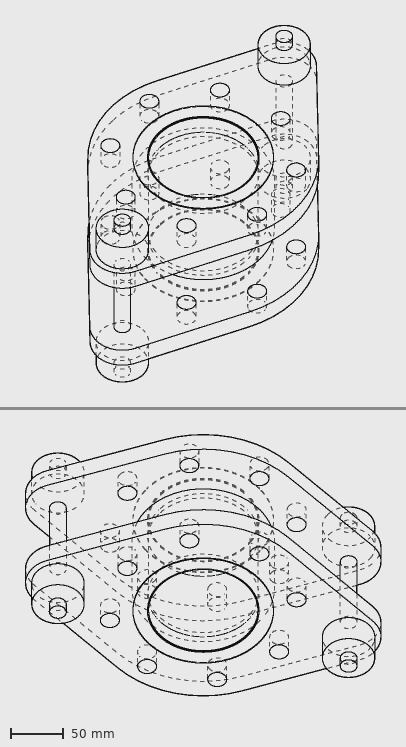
import cadquery as cq
import math

plate_length = 347.0
hub_radius = 110.0
lug_radius = 31.0
plate_inner_z = 43.0
plate_outer_z = 64.0
plate_thickness = plate_outer_z - plate_inner_z

bolt_count = 8
bolt_circle_radius = 90.0
bolt_hole_diameter = 18.0

face_radius = 67.0
face_height = 1.0
face_bore_radius = 53.0

body_radius = 68.0
body_half_height = 35.0
neck_radius = 53.0
bore_radius = 52.0
sleeve_rounding = 3.0

rod_radius = 8.0
rod_length = 210.0
nut_radius = 25.0
nut_height = 30.0
rod_y = plate_length / 2 - lug_radius


def cylinder(radius, z_bottom, height, y=0.0):
    """Upright cylinder centred at (0, y)."""
    return cq.Workplane("XY", origin=(0, y, z_bottom)).circle(radius).extrude(height)


def flange_plate():
    """Upper plate: a hub arc and two lug arcs joined by common tangents."""
    tangent_cos = (hub_radius - lug_radius) / rod_y
    tangent_sin = math.sqrt(1 - tangent_cos**2)
    hub_x = hub_radius * tangent_sin
    hub_y = hub_radius * tangent_cos
    lug_x = lug_radius * tangent_sin
    lug_y = rod_y + lug_radius * tangent_cos

    plate = (
        cq.Workplane("XY", origin=(0, 0, plate_inner_z))
        .moveTo(hub_x, -hub_y)
        .threePointArc((hub_radius, 0), (hub_x, hub_y))
        .lineTo(lug_x, lug_y)
        .threePointArc((0, plate_length / 2), (-lug_x, lug_y))
        .lineTo(-hub_x, hub_y)
        .threePointArc((-hub_radius, 0), (-hub_x, -hub_y))
        .lineTo(-lug_x, -lug_y)
        .threePointArc((0, -plate_length / 2), (lug_x, -lug_y))
        .close()
        .extrude(plate_thickness)
    )
    first_bolt_angle = 180 / bolt_count
    bolt_holes = (
        cq.Workplane("XY", origin=(0, 0, plate_inner_z))
        .polarArray(bolt_circle_radius, first_bolt_angle, 360, bolt_count)
        .circle(bolt_hole_diameter / 2)
        .extrude(plate_thickness)
    )
    return plate.cut(bolt_holes)


def upper_end():
    """Upper plate with its raised face ring and the two nuts."""
    ring = (
        cq.Workplane("XY", origin=(0, 0, plate_outer_z))
        .circle(face_radius)
        .circle(face_bore_radius)
        .extrude(face_height)
    )
    end = flange_plate().union(ring)
    for y in (-rod_y, rod_y):
        end = end.union(cylinder(nut_radius, plate_outer_z, nut_height, y))
    return end


def sleeve():
    """Body and necks, rounded at the body rims and where the necks meet it."""
    body = cylinder(body_radius, -body_half_height, 2 * body_half_height)
    neck = cylinder(neck_radius, -plate_inner_z, 2 * plate_inner_z)
    body_end_edges = cq.selectors.BoxSelector(
        (-body_radius, -body_radius, -body_half_height - sleeve_rounding),
        (body_radius, body_radius, body_half_height + sleeve_rounding),
    )
    return body.union(neck).edges("%CIRCLE").edges(body_end_edges).fillet(sleeve_rounding)


end = upper_end()
result = sleeve().union(end).union(end.mirror("XY"))
for y in (-rod_y, rod_y):
    result = result.union(cylinder(rod_radius, -rod_length / 2, rod_length, y))

result = result.cut(cylinder(bore_radius, -plate_outer_z, 2 * plate_outer_z))